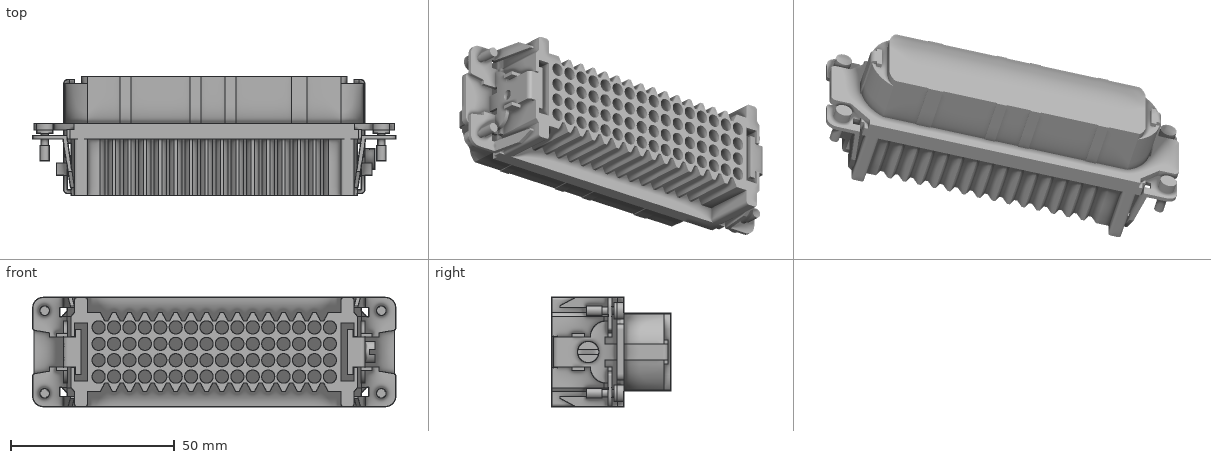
import cadquery as cq
import math


HALF_HEIGHT = 16.7
FLANGE_FRONT = -4.7
FLANGE_HALF = 44.0
FLANGE_STEP = 1.85
FLANGE_STEP_HALF = 42.8
PAD_END = 44.85
PAD_FRONT = -6.1
PAD_HALF_Z = 13.9
PAD_STUB_HALF_Z = 10.9
CABLE_FACE = -22.0
CORE_HALF_HEIGHT = 12.1
END_HALF = 43.65
COLUMN_OUT = 42.6
COLUMN_IN = 38.65
COLUMN_FILLET = 0.9
END_CHAMFER_Z = 10.9

COLUMNS = 16
ROWS = 4
COLUMN_PITCH = 4.7
ROW_PITCH = 5.0
HOLE_D = 4.0
HOLE_DEPTH = CABLE_FACE - FLANGE_FRONT
GROOVE_FLOOR_Z = 9.45
GROOVE_MOUTH = 3.75
GROOVE_FLOOR = 0.95

RECESS_HALF_Z = 8.8
RECESS_DEPTH = 8.0
NOTCH_HALF_Z = 4.75

EAR_T = 2.05
EAR_END = 55.0
EAR_HALF_Z = 8.5
EAR_SLANT_Z = 14.5
EAR_CORNER_R = 1.7

MATE_FACE = 14.35
MATE_STEP_Y = 12.2
MATE_HALF_Z = 11.6
MATE_FLAT_HALF = 38.6
MATE_NOSE = 45.7
LIP_HALF = 40.5
LIP_FLAT_Z = 7.15
LIP_BULGE = (39.95, 9.7)
KEY_TOP_Z = 11.9
KEYS = [(-28.7, -25.4), (-7.35, -4.0), (3.3, 6.6), (23.6, 28.25)]

SHEET = 1.2
LUG_BACK = -3.6
LUG_FRONT = LUG_BACK - SHEET
LUG_END = 55.375
LUG_CORNER_R = 3.3
LUG_LOW_CORNER_R = 0.7
LUG_LOW_Z = 6.7
LUG_STEP_X = 50.25
LUG_STEP_Z = 5.85
STRIP_HALF_Z = 4.6
STRIP_OUT = 45.95
STRIP_IN = STRIP_OUT - SHEET
STRIP_BEND_R = 1.3
WINDOW_X = 47.1
WINDOW_LOW = 10.8
WINDOW_TOP = 13.5
FLARE_R = 4.9
FLARE_Y = -5.3
TONGUE_HALF_Z = 2.5
TONGUE_SLOT_Y = -5.7
HOOK_FRONT = -21.4
HOOK_HEAD_X = 42.3
HOOK_TIP_X = 40.6
HOOK_HALF_Z = 6.8
TAB_X = 48.1
TAB_BACK = -12.0
TAB_FRONT = -15.8
TAB_T = 1.05
WING_OUT = 46.15
WING_TIP_OUT = 43.85
WING_TIP_Y = -19.5
WING_TAPER_Y = -14.6
WING_TIP_Z = 14.1
CATCH_BACK = 13.45
CATCH_IN = 42.6
CATCH_HALF_Z = 3.6
CATCH_HEAD_X = 44.2
CATCH_R = 1.5
SCREW_HOLE_Y = -10.85
SCREW_HOLE_D = 3.25

FIX_X_LEFT = -51.7
FIX_X_RIGHT = 50.95
FIX_Z = 12.6
FIX_HEAD_D = 5.05
FIX_COLLAR_D = 5.0
FIX_NECK_D = 2.35
FIX_SHAFT_D = 2.9
FIX_COLLAR_Y = -3.0
FIX_SHAFT_Y = -6.65
FIX_END_Y = -11.4

GROUND_HEAD_D = 6.5
GROUND_HEAD_T = 3.0
GROUND_SLOT_W = 1.6
GROUND_SLOT_DEPTH = 1.6


def box(x0, x1, y0, y1, z0, z1):
    """Box between two opposite corners."""
    return cq.Workplane("XY").box(x1 - x0, y1 - y0, z1 - z0, centered=False).translate((x0, y0, z0))


def along_y(profile, y0, y1):
    """Extrude an XZ outline from y0 forward to y1, where y1 < y0."""
    return profile.extrude(y0 - y1).translate((0, y0, 0))


def disc(x, d, y0, y1):
    """Cylinder of an upper fixing screw between two Y positions."""
    return along_y(cq.Workplane("XZ").center(x, FIX_Z).circle(d / 2), y0, y1)


def both_ends(shape):
    return shape.union(shape.mirror("YZ"))


def top_and_bottom(shape):
    return shape.union(shape.mirror("XY"))


def make_flange():
    step = box(-FLANGE_STEP_HALF, FLANGE_STEP_HALF, -FLANGE_STEP, 0, -HALF_HEIGHT, HALF_HEIGHT)
    plate = box(-FLANGE_HALF, FLANGE_HALF, FLANGE_FRONT, -FLANGE_STEP, -HALF_HEIGHT, HALF_HEIGHT)
    pad = box(-PAD_END, -COLUMN_OUT, FLANGE_FRONT, -FLANGE_STEP, -PAD_HALF_Z, PAD_HALF_Z)
    stub = box(-PAD_END, -COLUMN_OUT, PAD_FRONT, FLANGE_FRONT, -PAD_STUB_HALF_Z, PAD_STUB_HALF_Z)
    pad = pad.union(stub)
    slant_x = FLANGE_STEP_HALF + EAR_SLANT_Z - EAR_HALF_Z
    half_ears = (
        cq.Workplane("XZ")
        .moveTo(0, 0)
        .lineTo(-EAR_END, 0)
        .lineTo(-EAR_END, EAR_HALF_Z)
        .lineTo(-slant_x, EAR_HALF_Z)
        .lineTo(-FLANGE_STEP_HALF, EAR_SLANT_Z)
        .lineTo(0, EAR_SLANT_Z)
        .close()
    )
    ear = along_y(half_ears, 0, -EAR_T)
    ear = ear.faces("<X").edges("|Y and >Z").fillet(EAR_CORNER_R)
    return step.union(plate).union(both_ends(pad.union(top_and_bottom(ear))))


def make_cable_block():
    core = box(-COLUMN_OUT, COLUMN_OUT, CABLE_FACE, FLANGE_FRONT, -CORE_HALF_HEIGHT, CORE_HALF_HEIGHT)
    end_outline = (
        cq.Workplane("XZ")
        .moveTo(-COLUMN_IN, 0)
        .lineTo(-END_HALF, 0)
        .lineTo(-END_HALF, END_CHAMFER_Z)
        .lineTo(-COLUMN_OUT, CORE_HALF_HEIGHT)
        .lineTo(-COLUMN_IN, CORE_HALF_HEIGHT)
        .close()
    )
    end_wall = along_y(end_outline, FLANGE_FRONT, CABLE_FACE)
    column = box(-COLUMN_OUT, -COLUMN_IN, CABLE_FACE, FLANGE_FRONT, 0, HALF_HEIGHT)
    column = column.edges("|Y and >Z").fillet(COLUMN_FILLET)
    ends = both_ends(top_and_bottom(end_wall.union(column)))
    return core.union(ends)


def make_grooves():
    """V grooves between neighbouring contact columns, on top and bottom."""
    slope = (GROOVE_MOUTH - GROOVE_FLOOR) / 2
    centres = [(i - (COLUMNS - 2) / 2) * COLUMN_PITCH for i in range(COLUMNS - 1)]
    grooves = cq.Workplane("XZ")
    for x in centres:
        grooves = (
            grooves
            .moveTo(x - GROOVE_MOUTH / 2, CORE_HALF_HEIGHT)
            .lineTo(x - GROOVE_MOUTH / 2 + slope, GROOVE_FLOOR_Z)
            .lineTo(x + GROOVE_MOUTH / 2 - slope, GROOVE_FLOOR_Z)
            .lineTo(x + GROOVE_MOUTH / 2, CORE_HALF_HEIGHT)
            .close()
        )
    return top_and_bottom(along_y(grooves, FLANGE_FRONT, CABLE_FACE))


def make_contact_holes():
    holes = cq.Workplane("XZ").rarray(COLUMN_PITCH, ROW_PITCH, COLUMNS, ROWS).circle(HOLE_D / 2)
    return along_y(holes, CABLE_FACE - HOLE_DEPTH, CABLE_FACE)


def make_end_recesses():
    recess_floor = CABLE_FACE + RECESS_DEPTH
    pocket = box(-COLUMN_OUT, -COLUMN_IN, CABLE_FACE, recess_floor, -RECESS_HALF_Z, RECESS_HALF_Z)
    notch = box(-END_HALF, -COLUMN_OUT, CABLE_FACE, HOOK_FRONT + SHEET, -NOTCH_HALF_Z, NOTCH_HALF_Z)
    return both_ends(pocket.union(notch))


def make_mating_block():
    lower = (
        cq.Workplane("XZ")
        .moveTo(-MATE_FLAT_HALF, MATE_HALF_Z)
        .lineTo(MATE_FLAT_HALF, MATE_HALF_Z)
        .threePointArc((MATE_NOSE, 0), (MATE_FLAT_HALF, -MATE_HALF_Z))
        .lineTo(-MATE_FLAT_HALF, -MATE_HALF_Z)
        .threePointArc((-MATE_NOSE, 0), (-MATE_FLAT_HALF, MATE_HALF_Z))
        .close()
    )
    bulge_x, bulge_z = LIP_BULGE
    lip = (
        cq.Workplane("XZ")
        .moveTo(-MATE_FLAT_HALF, MATE_HALF_Z)
        .lineTo(MATE_FLAT_HALF, MATE_HALF_Z)
        .threePointArc((bulge_x, bulge_z), (LIP_HALF, LIP_FLAT_Z))
        .lineTo(LIP_HALF, -LIP_FLAT_Z)
        .threePointArc((bulge_x, -bulge_z), (MATE_FLAT_HALF, -MATE_HALF_Z))
        .lineTo(-MATE_FLAT_HALF, -MATE_HALF_Z)
        .threePointArc((-bulge_x, -bulge_z), (-LIP_HALF, -LIP_FLAT_Z))
        .lineTo(-LIP_HALF, LIP_FLAT_Z)
        .threePointArc((-bulge_x, bulge_z), (-MATE_FLAT_HALF, MATE_HALF_Z))
        .close()
    )
    block = along_y(lower, MATE_STEP_Y, 0).union(along_y(lip, MATE_FACE, MATE_STEP_Y))
    for x0, x1 in KEYS:
        block = block.union(box(x0, x1, 0, MATE_FACE, -KEY_TOP_Z, KEY_TOP_Z))
    return block


def make_lug():
    """Upper lug plate of the left bracket, with its window."""
    outline = (
        cq.Workplane("XZ")
        .moveTo(-LUG_END, LUG_LOW_Z)
        .lineTo(-LUG_STEP_X, LUG_STEP_Z)
        .lineTo(-LUG_STEP_X, STRIP_HALF_Z)
        .lineTo(-STRIP_IN, STRIP_HALF_Z)
        .lineTo(-STRIP_IN, WINDOW_TOP)
        .lineTo(-WING_OUT, WINDOW_TOP)
        .lineTo(-WING_OUT, HALF_HEIGHT)
        .lineTo(-LUG_END, HALF_HEIGHT)
        .close()
    )
    lug = along_y(outline, LUG_BACK, LUG_FRONT)
    lug = lug.faces("<X").edges("|Y and >Z").fillet(LUG_CORNER_R)
    lug = lug.faces("<X").edges("|Y and <Z").fillet(LUG_LOW_CORNER_R)
    return lug.cut(box(-WINDOW_X, -STRIP_IN, LUG_FRONT, LUG_BACK, WINDOW_LOW, WINDOW_TOP))


def make_wing():
    """Spring wing that leans inward from the lug, with a tapered tip."""
    wing = (
        cq.Workplane("XY")
        .moveTo(-WING_OUT, LUG_BACK)
        .lineTo(-WING_OUT + SHEET, LUG_BACK)
        .lineTo(-WING_TIP_OUT + SHEET, WING_TIP_Y)
        .lineTo(-WING_TIP_OUT, WING_TIP_Y)
        .lineTo(-WING_OUT, LUG_FRONT)
        .close()
        .extrude(HALF_HEIGHT - WINDOW_TOP)
        .translate((0, 0, WINDOW_TOP))
    )
    taper = (
        cq.Workplane("YZ")
        .moveTo(WING_TAPER_Y, HALF_HEIGHT)
        .lineTo(WING_TIP_Y, WING_TIP_Z)
        .lineTo(WING_TIP_Y, HALF_HEIGHT)
        .close()
        .extrude(-LUG_END)
    )
    return wing.cut(taper)


def make_strip():
    """Central spring strip with its flares, front hook and rear catch."""
    flare_outline = (
        cq.Workplane("YZ")
        .moveTo(LUG_BACK, STRIP_HALF_Z)
        .lineTo(LUG_BACK, STRIP_HALF_Z + FLARE_R)
        .lineTo(FLARE_Y, STRIP_HALF_Z + FLARE_R)
        .threePointArc(
            (FLARE_Y - FLARE_R * math.sqrt(0.5), STRIP_HALF_Z + FLARE_R * math.sqrt(0.5)),
            (FLARE_Y - FLARE_R, STRIP_HALF_Z),
        )
        .close()
    )
    flare = flare_outline.extrude(SHEET).translate((-STRIP_OUT, 0, 0))
    strip = box(-STRIP_OUT, -STRIP_IN, HOOK_FRONT, TONGUE_SLOT_Y, -STRIP_HALF_Z, STRIP_HALF_Z)
    arm = box(-STRIP_OUT, -HOOK_HEAD_X, HOOK_FRONT, HOOK_FRONT + SHEET, -STRIP_HALF_Z, STRIP_HALF_Z)
    strip = strip.union(arm).faces("<X").edges("|Z and <Y").fillet(STRIP_BEND_R)
    head = box(-HOOK_HEAD_X, -HOOK_TIP_X, HOOK_FRONT, HOOK_FRONT + SHEET, -HOOK_HALF_Z, HOOK_HALF_Z)
    tongue = box(-STRIP_OUT, -STRIP_IN, TONGUE_SLOT_Y, CATCH_BACK, -TONGUE_HALF_Z, TONGUE_HALF_Z)
    catch_arm = box(-STRIP_OUT, -CATCH_HEAD_X, MATE_STEP_Y, CATCH_BACK, -TONGUE_HALF_Z, TONGUE_HALF_Z)
    tongue = tongue.union(catch_arm).faces("<X").edges("|Z and >Y").fillet(CATCH_R)
    catch = box(-CATCH_HEAD_X, -CATCH_IN, MATE_STEP_Y, CATCH_BACK, -CATCH_HALF_Z, CATCH_HALF_Z)
    tab = box(-TAB_X, -STRIP_IN, TAB_FRONT, TAB_BACK, STRIP_HALF_Z, STRIP_HALF_Z + TAB_T)
    strip = strip.union(head).union(tongue).union(catch)
    strip = strip.union(top_and_bottom(flare)).union(top_and_bottom(tab))
    hole = cq.Workplane("YZ").center(SCREW_HOLE_Y, 0).circle(SCREW_HOLE_D / 2).extrude(SHEET)
    return strip.cut(hole.translate((-STRIP_OUT, 0, 0)))


def make_fixing_screw(x):
    screw = disc(x, FIX_HEAD_D, 0, -EAR_T)
    screw = screw.union(disc(x, FIX_COLLAR_D, -EAR_T, FIX_COLLAR_Y))
    screw = screw.union(disc(x, FIX_NECK_D, FIX_COLLAR_Y, FIX_SHAFT_Y))
    return screw.union(disc(x, FIX_SHAFT_D, FIX_SHAFT_Y, FIX_END_Y))


def make_connector():
    """Contact insert with its end brackets and fixing screws."""
    insert = make_flange().union(make_cable_block()).union(make_mating_block())
    insert = insert.cut(make_grooves()).cut(make_contact_holes()).cut(make_end_recesses())
    corner = make_lug().union(make_wing())
    bracket = make_strip().union(top_and_bottom(corner))
    connector = insert.union(both_ends(bracket))
    for x in (FIX_X_LEFT, FIX_X_RIGHT):
        connector = connector.union(top_and_bottom(make_fixing_screw(x)))
    return connector


def make_ground_screw():
    """Slotted screw in the hole of the +X bracket strip."""
    plane = cq.Workplane("YZ", origin=(STRIP_OUT, SCREW_HOLE_Y, 0))
    head = plane.circle(GROUND_HEAD_D / 2).extrude(GROUND_HEAD_T)
    shank = plane.circle(SCREW_HOLE_D / 2).extrude(-SHEET)
    slot = plane.workplane(offset=GROUND_HEAD_T).rect(GROUND_HEAD_D, GROUND_SLOT_W).extrude(-GROUND_SLOT_DEPTH)
    return head.union(shank).cut(slot)


connector_body = make_connector()
ground_screw = make_ground_screw()

result = cq.Compound.makeCompound([connector_body.val(), ground_screw.val()])